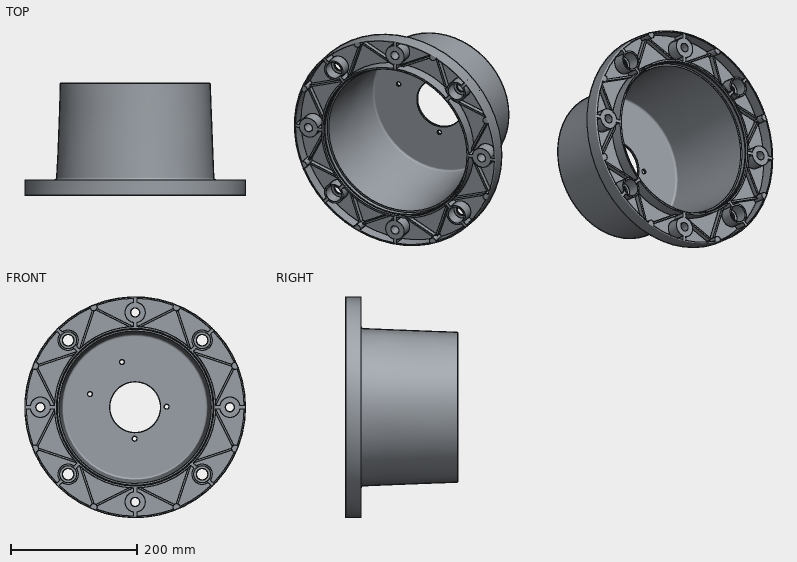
import cadquery as cq
import math


flange_radius = 175.0
flange_thickness = 25.0
flange_edge_round = 1.0
rim_thickness = 2.5
web_thickness = 3.5
pocket_depth = flange_thickness - web_thickness
rim_inner_radius = flange_radius - rim_thickness

total_depth = 178.0
hub_base_radius = 125.0
hub_end_radius = 119.0
hub_end_round = 2.0
hub_foot_round = 3.0
end_wall_thickness = 4.0
lip_outer_radius = 127.8
bore_mouth_radius = 120.8
bore_floor_radius = 115.0
bore_floor_round = 3.0

outer_recess_radius = 125.0
outer_recess_depth = 5.2
inner_recess_radius = 123.5
inner_recess_depth = 13.3

spoke_count = 8
bolt_circle_radius = 150.0
boss_radius = 16.0
small_bolt_hole_diameter = 14.0
large_bolt_hole_diameter = 18.0
counterbore_diameter = 27.0
spoke_width = 5.2
spoke_pitch = 360.0 / spoke_count

peg_radius = 5.5
peg_circle_radius = 171.5
rib_width = 2.8
rib_height = 8.8
rib_inner_radius = 124.5
rib_outer_radius = 170.0

centre_hole_diameter = 80.0
screw_hole_diameter = 7.5
screw_pattern_length = 100.0
screw_pattern_width = 71.8
screw_pattern_offset = -15.5
screw_pattern_angle = -45.0

selection_margin = 0.5


def polar(radius, angle):
    """Point in the X-Z plane at an angle in degrees from +X towards +Z."""
    return (radius * math.cos(math.radians(angle)), radius * math.sin(math.radians(angle)))


def prism(draw_outline, depth_from, depth_to):
    """Extrude what draw_outline draws on the X-Z plane between two depths along +Y."""
    plane = cq.Workplane("XZ", origin=(0, depth_from, 0))
    return draw_outline(plane).extrude(depth_from - depth_to)


def cylinders(points, diameter, depth_from, depth_to):
    return prism(lambda plane: plane.pushPoints(points).circle(diameter / 2), depth_from, depth_to)


def bar(start, end, width, depth_from, depth_to):
    """Straight rib between two points of the X-Z plane."""
    run = (end[0] - start[0], end[1] - start[1])
    middle = ((start[0] + end[0]) / 2, (start[1] + end[1]) / 2)
    angle = math.degrees(math.atan2(run[1], run[0]))
    outline = cq.Sketch().rect(math.hypot(*run), width)
    return prism(
        lambda plane: plane.center(*middle).transformed(rotate=(0, 0, angle)).placeSketch(outline),
        depth_from,
        depth_to,
    )


def turned(points):
    """Solid of revolution about Y from (radius, y) points."""
    return cq.Workplane("XY").polyline(points).close().revolve(360, (0, 0, 0), (0, 1, 0))


def ring(outer_radius, inner_radius, depth_from, depth_to):
    return prism(lambda plane: plane.circle(outer_radius).circle(inner_radius), depth_from, depth_to)


def make_flange_and_hub():
    disc = cq.Workplane("XZ").circle(flange_radius).extrude(-flange_thickness)
    disc = disc.edges().fillet(flange_edge_round)
    hub = turned([
        (0, 0),
        (hub_base_radius, 0),
        (hub_base_radius, flange_thickness),
        (hub_end_radius, total_depth),
        (0, total_depth),
    ])
    hub = hub.faces(">Y").edges().fillet(hub_end_round)
    body = disc.union(hub)
    foot_reach = hub_base_radius + selection_margin
    foot = cq.selectors.BoxSelector(
        (-foot_reach, flange_thickness - selection_margin, -foot_reach),
        (foot_reach, flange_thickness + selection_margin, foot_reach),
        boundingbox=True,
    )
    return body.edges(foot).fillet(hub_foot_round)


def make_bore():
    bore_floor = total_depth - end_wall_thickness
    cavity = turned([
        (0, 0),
        (bore_mouth_radius, 0),
        (bore_mouth_radius, inner_recess_depth),
        (bore_floor_radius, bore_floor),
        (0, bore_floor),
    ])
    cavity = cavity.faces(">Y").edges().fillet(bore_floor_round)
    centre = [(0, 0)]
    outer_recess = cylinders(centre, 2 * outer_recess_radius, 0, outer_recess_depth)
    inner_recess = cylinders(centre, 2 * inner_recess_radius, 0, inner_recess_depth)
    return cavity.union(outer_recess).union(inner_recess)


def make_pocket_features():
    """Rim of the flange with the bosses, spokes, pegs and ribs that stand in the pocket inside it."""
    features = ring(flange_radius, rim_inner_radius, 0, pocket_depth)
    rib_top = pocket_depth - rib_height
    for index in range(spoke_count):
        angle = index * spoke_pitch
        peg_angle = angle + spoke_pitch / 2
        spoke_start = polar(rib_inner_radius, angle)
        spoke = bar(spoke_start, polar(flange_radius, angle), spoke_width, 0, pocket_depth)
        boss = cylinders([polar(bolt_circle_radius, angle)], 2 * boss_radius, 0, pocket_depth)
        peg = cylinders([polar(peg_circle_radius, peg_angle)], 2 * peg_radius, 0, pocket_depth)
        features = features.union(spoke).union(boss).union(peg)
        rib_end = polar(rib_outer_radius, peg_angle)
        for rib_angle in (angle, angle + spoke_pitch):
            rib_start = polar(rib_inner_radius, rib_angle)
            features = features.union(bar(rib_start, rib_end, rib_width, rib_top, pocket_depth))
    return features


def make_bolt_holes():
    straight = [polar(bolt_circle_radius, i * spoke_pitch) for i in range(0, spoke_count, 2)]
    diagonal = [polar(bolt_circle_radius, i * spoke_pitch) for i in range(1, spoke_count, 2)]
    small_holes = cylinders(straight, small_bolt_hole_diameter, 0, flange_thickness)
    large_holes = cylinders(diagonal, large_bolt_hole_diameter, 0, flange_thickness)
    counterbores = cylinders(diagonal, counterbore_diameter, 0, pocket_depth)
    return small_holes.union(large_holes).union(counterbores)


def make_end_wall_holes():
    centre_hole = cylinders([(0, 0)], centre_hole_diameter, 0, total_depth)
    screw_holes = (
        cq.Workplane("XZ")
        .transformed(rotate=(0, 0, screw_pattern_angle))
        .center(screw_pattern_offset, 0)
        .rect(screw_pattern_length, screw_pattern_width, forConstruction=True)
        .vertices()
        .circle(screw_hole_diameter / 2)
        .extrude(-total_depth)
    )
    return centre_hole.union(screw_holes)


body = make_flange_and_hub()
pocket = ring(rim_inner_radius, lip_outer_radius, 0, pocket_depth)
pocket_features = make_pocket_features().intersect(body)
result = (
    body.cut(pocket)
    .union(pocket_features)
    .cut(make_bore())
    .cut(make_bolt_holes())
    .cut(make_end_wall_holes())
)